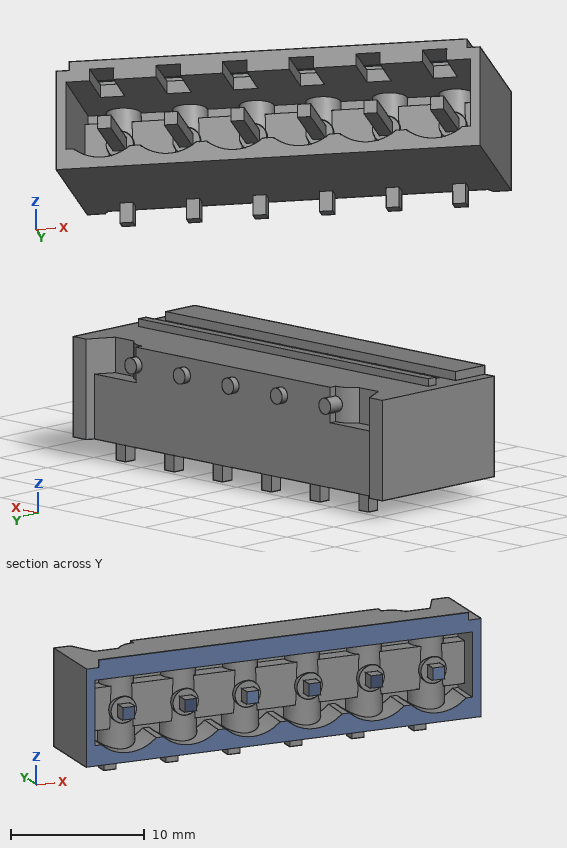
import cadquery as cq
import math


PIN_COUNT = 6
PITCH = 5.08
PIN_X = [(i - (PIN_COUNT - 1) / 2) * PITCH for i in range(PIN_COUNT)]
GAP_X = [x + PITCH / 2 for x in PIN_X[:-1]]

PIN_SIDE = 1.0
PIN_AXIS_Z = 3.82
PIN_TIP_Y = 1.0
PIN_LEG_BACK_Y = 10.45
PIN_DROP = 1.55

WIDTH = 32.38
DEPTH = 12.0
HEIGHT = 7.7
EAR_LENGTH = 0.58
BACK_Y = DEPTH - EAR_LENGTH

STRIP_END_INSET = 1.0
STRIP_WIDTH = WIDTH - 2 * STRIP_END_INSET
STRIP_HEIGHT = 0.68
STRIP_DEPTH = 3.15
RIB_HEIGHT = 0.58
RIB_FRONT_Y = 5.25
RIB_DEPTH = 0.8
SLOT_WIDTH = 1.85
SLOT_DEPTH = 4.2

SIDE_WALL = 0.75
CAVITY_WIDTH = WIDTH - 2 * SIDE_WALL
CAVITY_DEPTH = 8.58
CEILING_Z = 6.8
FLOOR_Z = 1.55
DRAFT = 0.13
TROUGH_Z = 0.78
TROUGH_HALF_WIDTH = 2.15
TROUGH_SAG = FLOOR_Z - TROUGH_Z
TROUGH_RADIUS = (TROUGH_HALF_WIDTH**2 + TROUGH_SAG**2) / (2 * TROUGH_SAG)

COLUMN_AXIS_Y = 8.42
COLUMN_BOTTOM_RADIUS = 1.45
COLUMN_TOP_RADIUS = 1.3
BAND_BOTTOM_Z = 2.33
BAND_TOP_Z = 5.67
BAND_FRONT_Y = 7.38
COLLAR_RADIUS = 1.05
COLLAR_FRONT_Y = 6.93

EAR_WIDTH = 1.35
NOTCH_FLOOR_Z = 5.0
NOTCH_DEPTH = 2.05
NOTCH_FLAT_START = 2.43
NOTCH_FLAT_END = 4.4
NOTCH_ARC_RISE = 0.87
BOSS_RADIUS = 0.6
BOSS_Z = 6.35
BOSS_ROOT_Y = DEPTH - NOTCH_DEPTH


def box_between(x_min, x_max, y_min, y_max, z_min, z_max):
    size = (x_max - x_min, y_max - y_min, z_max - z_min)
    return cq.Workplane("XY").box(*size, centered=False).translate((x_min, y_min, z_min))


def centred_box(x, width, y_min, y_max, z_min, z_max):
    return box_between(x - width / 2, x + width / 2, y_min, y_max, z_min, z_max)


def rod_along_y(x, z, radius, y_start, y_end):
    axis = cq.Vector(0, 1, 0)
    return cq.Workplane(cq.Solid.makeCylinder(radius, y_end - y_start, cq.Vector(x, y_start, z), axis))


def make_pin(x):
    """Square pin: a level contact with a leg bent down at its back end."""
    half = PIN_SIDE / 2
    top_z = PIN_AXIS_Z + half
    contact = centred_box(x, PIN_SIDE, PIN_TIP_Y, PIN_LEG_BACK_Y, PIN_AXIS_Z - half, top_z)
    leg = centred_box(x, PIN_SIDE, PIN_LEG_BACK_Y - PIN_SIDE, PIN_LEG_BACK_Y, -PIN_DROP, top_z)
    return contact.union(leg)


def make_outer_block():
    """Plain block with the front strip and the thin rib on top."""
    block = centred_box(0, WIDTH, 0, DEPTH, 0, HEIGHT)
    strip = centred_box(0, STRIP_WIDTH, 0, STRIP_DEPTH, HEIGHT, HEIGHT + STRIP_HEIGHT)
    rib = centred_box(
        0, STRIP_WIDTH, RIB_FRONT_Y, RIB_FRONT_Y + RIB_DEPTH, HEIGHT, HEIGHT + RIB_HEIGHT
    )
    return block.union(strip).union(rib)


def make_cavity_space():
    """Empty space of the cavity: a slightly drafted box with one round trough under each pin."""
    space = (
        cq.Workplane("YZ")
        .polyline(
            [
                (0, FLOOR_Z),
                (CAVITY_DEPTH, FLOOR_Z + DRAFT),
                (CAVITY_DEPTH, CEILING_Z - DRAFT),
                (0, CEILING_Z),
            ]
        )
        .close()
        .extrude(CAVITY_WIDTH / 2, both=True)
    )
    for x in PIN_X:
        trough = rod_along_y(x, TROUGH_Z + TROUGH_RADIUS, TROUGH_RADIUS, 0, CAVITY_DEPTH)
        trough_zone = centred_box(x, PITCH, 0, CAVITY_DEPTH, 0, PIN_AXIS_Z)
        space = space.union(trough.intersect(trough_zone))
    return space


def make_key_slot(x):
    """Slot through the roof, covered by the strip in front and open upward behind it."""
    return centred_box(x, SLOT_WIDTH, 0, SLOT_DEPTH, CEILING_Z - DRAFT, HEIGHT)


def make_column(x):
    """Tapered round column on the cavity back wall, running on into the floor and the roof."""
    cone = cq.Solid.makeCone(
        COLUMN_BOTTOM_RADIUS,
        COLUMN_TOP_RADIUS,
        HEIGHT,
        cq.Vector(x, COLUMN_AXIS_Y, 0),
        cq.Vector(0, 0, 1),
    )
    return cq.Workplane(cone)


def make_back_wall_details():
    """Level band across the cavity back, with a column and a pin collar at each pin."""
    details = centred_box(
        0, CAVITY_WIDTH, BAND_FRONT_Y, CAVITY_DEPTH, BAND_BOTTOM_Z, BAND_TOP_Z
    )
    for x in PIN_X:
        collar = rod_along_y(x, PIN_AXIS_Z, COLLAR_RADIUS, COLLAR_FRONT_Y, CAVITY_DEPTH)
        details = details.union(make_column(x)).union(collar)
    return details


def make_left_notch():
    """Notch between the left ear and the back face, open upward and backward."""
    end_x = -WIDTH / 2
    wall_x = GAP_X[0]
    flat_y = DEPTH - NOTCH_DEPTH
    arc_run = wall_x - (end_x + NOTCH_FLAT_END)
    arc_radius = (arc_run**2 + NOTCH_ARC_RISE**2) / (2 * NOTCH_ARC_RISE)
    arc_top_y = flat_y + NOTCH_ARC_RISE
    half_angle = math.asin(arc_run / arc_radius) / 2
    arc_middle = (
        wall_x - arc_radius * math.sin(half_angle),
        arc_top_y - arc_radius * (1 - math.cos(half_angle)),
    )
    return (
        cq.Workplane("XY", origin=(0, 0, NOTCH_FLOOR_Z))
        .moveTo(end_x + EAR_WIDTH, DEPTH)
        .lineTo(end_x + NOTCH_FLAT_START, flat_y)
        .lineTo(end_x + NOTCH_FLAT_END, flat_y)
        .threePointArc(arc_middle, (wall_x, arc_top_y))
        .lineTo(wall_x, DEPTH)
        .close()
        .extrude(HEIGHT - NOTCH_FLOOR_Z)
    )


def make_ear_gap():
    """Space behind the back face, between the sloped inner sides of the two ears."""
    ear_slope = (NOTCH_FLAT_START - EAR_WIDTH) / NOTCH_DEPTH
    half_outer = WIDTH / 2 - EAR_WIDTH
    half_inner = half_outer - ear_slope * EAR_LENGTH
    return (
        cq.Workplane("XY")
        .polyline(
            [
                (-half_outer, DEPTH),
                (-half_inner, BACK_Y),
                (half_inner, BACK_Y),
                (half_outer, DEPTH),
            ]
        )
        .close()
        .extrude(HEIGHT)
    )


def make_housing(pins):
    housing = make_outer_block()
    housing = housing.cut(make_cavity_space().cut(make_back_wall_details()))
    for x in PIN_X:
        housing = housing.cut(make_key_slot(x))

    left_notch = make_left_notch()
    housing = housing.cut(make_ear_gap()).cut(left_notch).cut(left_notch.mirror("YZ"))
    for x in GAP_X:
        housing = housing.union(rod_along_y(x, BOSS_Z, BOSS_RADIUS, BOSS_ROOT_Y, DEPTH))

    for pin in pins:
        housing = housing.cut(pin)
    return housing


pins = [make_pin(x) for x in PIN_X]
housing = make_housing(pins)

result = cq.Compound.makeCompound([housing.val(), *[pin.val() for pin in pins]])